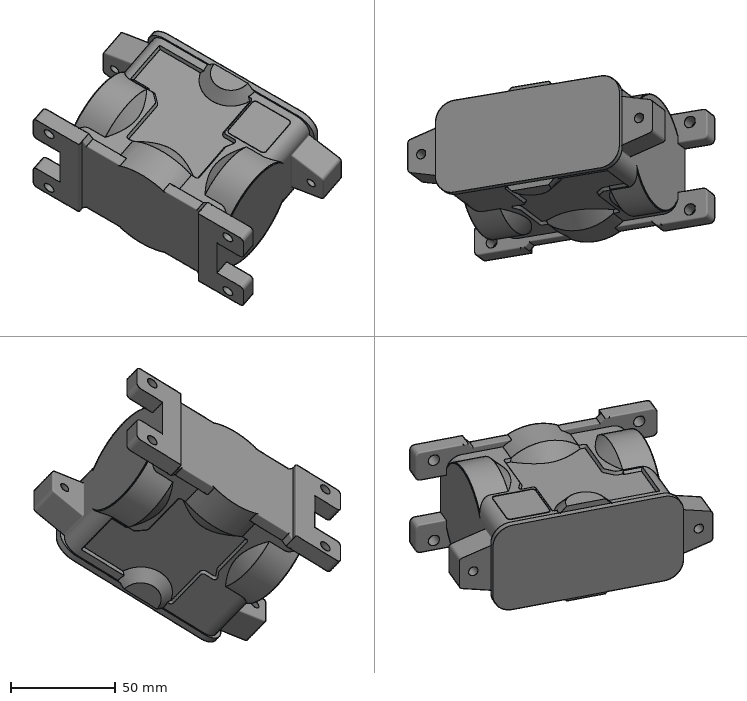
import cadquery as cq

OVERALL_X = 129.5
OVERALL_Y = 80.0
OVERALL_Z = 57.0

BODY_X = 92.2
BODY_Z = 45.3
BODY_CORNER_R = 7.6
FRONT_Y = 2.6
BODY_TOP = BODY_Z / 2

FLANGE_X = 97.4
FLANGE_Z = 47.1
FLANGE_T = 3.1
FLANGE_CORNER_R = 10.0
FLANGE_Y = OVERALL_Y - FLANGE_T

BOSS_R = OVERALL_Z / 2
SIDE_BOSS_Y = FRONT_Y + BOSS_R
SIDE_BOSS_LENGTH = 16.8
SIDE_BOSS_EDGE = 0.4
FRONT_BOSS_LENGTH = 17.0
CONE_SLOPE = 1.07

REAR_BOSS_TOP_R = 9.8
REAR_BOSS_TOP = 26.5

PANEL_DEPTH = 1.5
PANEL_DRAFT = 32.0
PANEL_CORNER_R = 1.4
PANEL_FLOOR = BODY_TOP - PANEL_DEPTH

LABEL_X = 22.0
LABEL_Y = 22.9
LABEL_CENTRE = (27.5, 61.5)
LABEL_DEPTH = 0.3
LABEL_CORNER_R = 1.8

FEET_X = 123.5
FEET_Z = 56.0
FEET_DEPTH = 8.3
FEET_INNER_X = 34.8
FEET_CORNER_R = 2.6
FEET_EDGE_R = 0.6
FEET_SLOT_Z = 24.9
FOOT_HOLE_D = 5.7
FOOT_HOLE_X = 52.5
FOOT_HOLE_Z = 22.4
PLATE_Z = 51.0
PLATE_EDGE_R = 0.5
PLATE_OVERLAP = 2.6

EAR_ROOT_Z = 26.4
EAR_TIP_Z = 16.3
EAR_FRONT_Y = 61.9
EAR_TIP_R = 2.0
EAR_EDGE_R = 0.8
EAR_ROOT_R = 0.5
EAR_HOLE_D = 4.8
EAR_HOLE_X = 57.6


def plane_at(y):
    """Workplane across the part at depth y: local x = X, local y = Z, extruding toward +Y."""
    return cq.Workplane(cq.Plane(origin=(0, y, 0), xDir=(1, 0, 0), normal=(0, -1, 0)))


def box_along_y(size_x, size_z, y_start, y_end):
    return plane_at(y_start).rect(size_x, size_z).extrude(y_start - y_end)


def revolve_about_z(profile):
    """Solid of revolution from (radius, z) points."""
    return cq.Workplane("XZ").polyline(profile).close().revolve(360, (0, 0), (0, 1))


def both_sides(shape):
    return shape.union(shape.mirror("YZ"))


def make_body():
    """Main block with rounded long edges and the flange at its rear end."""
    body = box_along_y(BODY_X, BODY_Z, FRONT_Y, OVERALL_Y).edges("|Y").fillet(BODY_CORNER_R)
    flange = box_along_y(FLANGE_X, FLANGE_Z, FLANGE_Y, OVERALL_Y).edges("|Y").fillet(FLANGE_CORNER_R)
    return body.union(flange)


def panel_recess():
    """Cutter for the recessed panel in the top face, stepping around the label field."""
    left = -39.1
    rear = 72.9
    label_side = 15.7
    shoulder = 48.5
    waist = 21.1
    front = FRONT_Y + FRONT_BOSS_LENGTH
    outline = [
        (left, rear), (label_side, rear), (label_side, shoulder), (24.3, shoulder),
        (waist, 42.7), (waist, front), (-waist, front), (-waist, 44.3), (-25.6, shoulder),
        (left, shoulder),
    ]
    straight = (cq.Workplane("XY", origin=(0, 0, BODY_TOP)).polyline(outline).close().extrude(-PANEL_DEPTH)
                .edges("|Z").edges("not(<X)").fillet(PANEL_CORNER_R))
    return (straight.faces(">Z").wires().toPending().workplane()
            .extrude(-PANEL_DEPTH, combine=False, taper=PANEL_DRAFT))


def label_recess():
    """Cutter for the shallow label field in the top face."""
    return (cq.Workplane("XY", origin=(*LABEL_CENTRE, BODY_TOP)).rect(LABEL_X, LABEL_Y)
            .extrude(-LABEL_DEPTH).edges("|Z").fillet(LABEL_CORNER_R))


def boss(length):
    """Boss along +Z from z = 0, ending in a cone that runs down to the panel floor."""
    cone_length = (BOSS_R - PANEL_FLOOR) * CONE_SLOPE
    profile = [(0, 0), (BOSS_R, 0), (BOSS_R, length), (PANEL_FLOOR, length + cone_length),
               (0, length + cone_length)]
    return revolve_about_z(profile)


def make_bosses():
    """Entry bosses on both sides and at the front."""
    side = (boss(SIDE_BOSS_LENGTH).faces("<Z").chamfer(SIDE_BOSS_EDGE)
            .rotate((0, 0, 0), (0, 1, 0), 90).translate((-BODY_X / 2, SIDE_BOSS_Y, 0)))
    front = boss(FRONT_BOSS_LENGTH).rotate((0, 0, 0), (1, 0, 0), -90).translate((0, FRONT_Y, 0))
    return both_sides(side).union(front)


def make_rear_boss():
    """45 degree cones on the top and bottom, cut off flat by the flange."""
    base_r = REAR_BOSS_TOP_R + REAR_BOSS_TOP - PANEL_FLOOR
    profile = [(0, 0), (base_r, 0), (base_r, PANEL_FLOOR), (REAR_BOSS_TOP_R, REAR_BOSS_TOP),
               (0, REAR_BOSS_TOP)]
    cone = revolve_about_z(profile).translate((0, FLANGE_Y, 0))
    cone = cone.union(cone.mirror("XY"))
    return cone.intersect(box_along_y(FLANGE_X, OVERALL_Z, 0, FLANGE_Y))


def make_feet():
    """Slotted foot with two holes, repeated on the other side."""
    width = FEET_X / 2 - FEET_INNER_X
    foot = box_along_y(width, FEET_Z, 0, FEET_DEPTH).translate((-FEET_INNER_X - width / 2, 0, 0))
    slot_length = (FEET_X - BODY_X) / 2
    slot = box_along_y(slot_length, FEET_SLOT_Z, 0, FEET_DEPTH)
    foot = foot.cut(slot.translate((-(BODY_X + slot_length) / 2, 0, 0)))
    foot = foot.edges("|Y").edges("<X").fillet(FEET_CORNER_R)
    holes = (plane_at(0).pushPoints([(-FOOT_HOLE_X, FOOT_HOLE_Z), (-FOOT_HOLE_X, -FOOT_HOLE_Z)])
             .circle(FOOT_HOLE_D / 2).extrude(-FEET_DEPTH))
    foot = foot.faces(">Y").edges().fillet(FEET_EDGE_R)
    foot = foot.faces("<Y").edges(">X").fillet(FEET_EDGE_R)
    foot = foot.cut(holes)
    return both_sides(foot)


def make_plate():
    """Plate that runs into both feet and flares at 45 degrees to their full height."""
    corner = (FEET_Z - PLATE_Z) / 2
    end_x = FEET_INNER_X + PLATE_OVERLAP
    neck_x = FEET_INNER_X - corner
    feet_edge = FEET_Z / 2
    plate_edge = PLATE_Z / 2
    upper = [(-end_x, feet_edge), (-FEET_INNER_X, feet_edge), (-neck_x, plate_edge),
             (neck_x, plate_edge), (FEET_INNER_X, feet_edge), (end_x, feet_edge)]
    outline = upper + [(x, -z) for x, z in reversed(upper)]
    return (plane_at(FRONT_Y).polyline(outline).close().extrude(FRONT_Y - FEET_DEPTH)
            .faces("<Y or >Y").edges().fillet(PLATE_EDGE_R))


def make_ears():
    """Tapered ears with one hole each, in front of the flange."""
    root = BODY_X / 2
    tip = OVERALL_X / 2
    outline = [(0, EAR_ROOT_Z / 2), (-root, EAR_ROOT_Z / 2), (-tip, EAR_TIP_Z / 2), (-tip, -EAR_TIP_Z / 2),
               (-root, -EAR_ROOT_Z / 2), (0, -EAR_ROOT_Z / 2)]
    ear = plane_at(EAR_FRONT_Y).polyline(outline).close().extrude(EAR_FRONT_Y - FLANGE_Y)
    ear = ear.edges("|Y").edges("<X").fillet(EAR_TIP_R)
    ear = ear.faces("<Y").edges().fillet(EAR_EDGE_R)
    hole = plane_at(EAR_FRONT_Y).center(-EAR_HOLE_X, 0).circle(EAR_HOLE_D / 2).extrude(EAR_FRONT_Y - FLANGE_Y)
    return both_sides(ear.cut(hole))


def blend_ear_roots(shape):
    """Small fillet where each ear meets the side of the body, short of the flange."""
    reach = EAR_ROOT_R / 2
    for x in (-BODY_X / 2, BODY_X / 2):
        near_root = cq.selectors.BoxSelector(
            (x - reach, EAR_FRONT_Y - reach, -EAR_ROOT_Z / 2 - reach),
            (x + reach, FLANGE_Y - reach, EAR_ROOT_Z / 2 + reach),
            boundingbox=False,
        )
        shape = shape.edges(near_root).fillet(EAR_ROOT_R)
    return shape


recess = panel_recess()
result = blend_ear_roots(make_body().union(make_ears()))
result = result.cut(recess).cut(recess.mirror("XY")).cut(label_recess())
for piece in (make_bosses(), make_rear_boss(), make_feet(), make_plate()):
    result = result.union(piece)